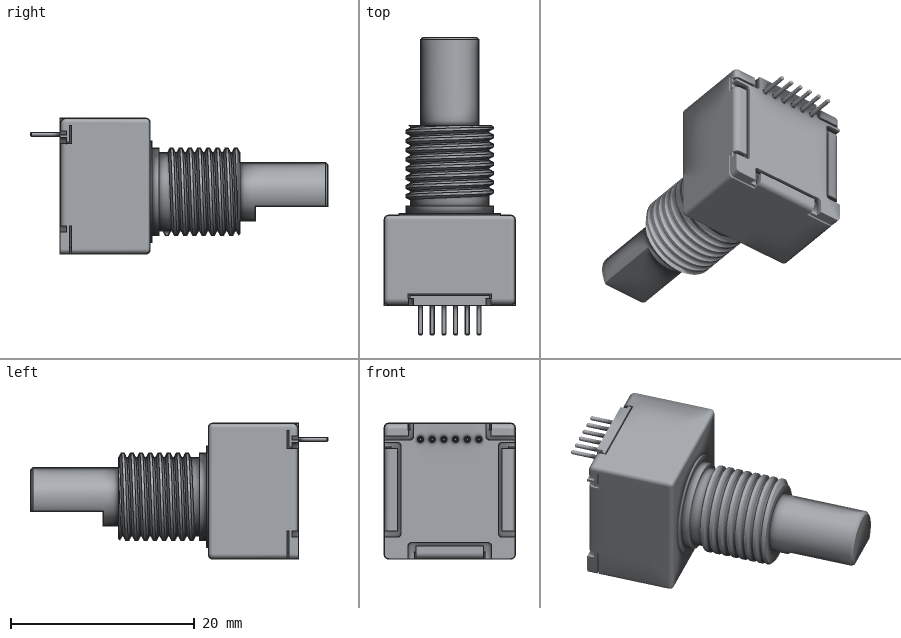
import cadquery as cq

HOUSING_WIDTH = 14.25
HOUSING_DEPTH = 9.82
HOUSING_TOP = 8.0
HOUSING_HEIGHT = 14.76
HOUSING_BOTTOM = HOUSING_TOP - HOUSING_HEIGHT
HALF_WIDTH = HOUSING_WIDTH / 2
EDGE_RADIUS = 0.5

PIN_LENGTH = 3.18
OVERALL_LENGTH = 32.33
SHAFT_END = OVERALL_LENGTH - PIN_LENGTH
SHAFT_PROJECTION = 9.58
BUSHING_END = SHAFT_END - SHAFT_PROJECTION
SEAT_RADIUS = 5.5
SEAT_THICKNESS = 0.2
SEAT_END = HOUSING_DEPTH + SEAT_THICKNESS
COLLAR_RADIUS = 4.76
COLLAR_THICKNESS = 0.78
COLLAR_END = SEAT_END + COLLAR_THICKNESS

SHAFT_RADIUS = 3.175
SHAFT_CHAMFER = 0.25
FLAT_DISTANCE = SHAFT_RADIUS / 2
ROUND_STUB = 1.7

THREAD_PITCH = 1.0
THREAD_ROOT_RADIUS = 4.25
THREAD_CREST_RADIUS = 4.76
THREAD_ROOT_WIDTH = 0.92
THREAD_CREST_WIDTH = 0.3
THREAD_EMBED = 0.1
THREAD_START = 11.64
THREAD_END_RADIUS = 4.55

BASE_THICKNESS = 1.07
SHELL_GAP = 0.21
NOTCH_DEPTH = BASE_THICKNESS + SHELL_GAP
SHELL_THICKNESS = 0.75
TOP_NOTCH_HALF = 4.53
TOP_GAP_INNER = 4.3

POCKET_DEPTH = 0.75
POCKET_RADIUS = 0.4
TAB_FACE = 0.08
TAB_BEND_RADIUS = 0.65

SIDE_POCKET_REACH = 1.84
SIDE_POCKET_TOP = 5.9
SIDE_POCKET_BOTTOM = -4.38
SIDE_TAB_REACH = 1.47
SIDE_TAB_TOP = 5.25
SIDE_TAB_BOTTOM = -3.72
SIDE_RELIEF = 0.17

BOTTOM_POCKET_REACH = 1.78
BOTTOM_POCKET_HALF = 4.53
BOTTOM_TAB_REACH = 1.41
BOTTOM_TAB_HALF = 3.66
BOTTOM_RELIEF = 0.19

CORNER_POCKET_REACH = 1.81
CORNER_POCKET_INNER = 3.93
CORNER_TAB_REACH = 1.4
CORNER_TAB_INNER = 4.5
CORNER_WRAP = 0.77

PIN_COUNT = 6
PIN_PITCH = 1.27
PIN_DIAMETER = 0.46
PIN_TIP_CHAMFER = 0.1
PIN_HEIGHT = 6.24
PIN_HOLE_DIAMETER = 0.66
PIN_HOLE_DEPTH = 0.3


def block(x_range, y_range, z_range):
    """Box spanning the given X, Y and Z ranges."""
    size = [high - low for low, high in (x_range, y_range, z_range)]
    corner = (x_range[0], y_range[0], z_range[0])
    return cq.Workplane("XY").box(*size, centered=False).translate(corner)


def cylinder(radius, start, end):
    """Cylinder along Y around the shaft axis."""
    return cq.Workplane("XZ", origin=(0, start, 0)).circle(radius).extrude(start - end)


def both_sides(shape):
    """The shape together with its mirror image across X = 0."""
    return shape.union(shape.mirror("YZ"))


def make_housing():
    housing = block((-HALF_WIDTH, HALF_WIDTH), (0, HOUSING_DEPTH), (HOUSING_BOTTOM, HOUSING_TOP))
    return housing.edges("|Y").fillet(EDGE_RADIUS).faces(">Y").edges().fillet(EDGE_RADIUS)


def make_pockets():
    """Rounded recesses in the base plate, open to the outside of the housing."""
    y_range = (0, POCKET_DEPTH)
    outside = HALF_WIDTH + EDGE_RADIUS
    above = HOUSING_TOP + EDGE_RADIUS
    below = HOUSING_BOTTOM - EDGE_RADIUS
    side = block(
        (-outside, SIDE_POCKET_REACH - HALF_WIDTH), y_range, (SIDE_POCKET_BOTTOM, SIDE_POCKET_TOP)
    )
    side = side.edges("|Y and >X").fillet(POCKET_RADIUS)
    corner = block(
        (-outside, -CORNER_POCKET_INNER), y_range, (HOUSING_TOP - CORNER_POCKET_REACH, above)
    )
    corner = corner.edges("|Y and >X and <Z").fillet(POCKET_RADIUS)
    bottom = block(
        (-BOTTOM_POCKET_HALF, BOTTOM_POCKET_HALF),
        y_range,
        (below, HOUSING_BOTTOM + BOTTOM_POCKET_REACH),
    )
    bottom = bottom.edges("|Y and >Z").fillet(POCKET_RADIUS)
    return both_sides(side.union(corner)).union(bottom)


def make_gaps():
    """Narrow clearances between the shell's front edge and the base plate."""
    rim = (BASE_THICKNESS, NOTCH_DEPTH)
    full = (0, NOTCH_DEPTH)
    side_wall = (-HALF_WIDTH, SHELL_THICKNESS - HALF_WIDTH)
    top_wall = (HOUSING_TOP - SHELL_THICKNESS, HOUSING_TOP)
    bottom_wall = (HOUSING_BOTTOM, HOUSING_BOTTOM + SHELL_THICKNESS)
    relief_end = BOTTOM_TAB_HALF + BOTTOM_RELIEF

    top_rim = block((-TOP_NOTCH_HALF, 0), rim, top_wall)
    top_slit = block((-TOP_NOTCH_HALF, -TOP_GAP_INNER), full, top_wall)
    upper_rim = block(side_wall, rim, (SIDE_TAB_TOP, HOUSING_TOP - CORNER_WRAP))
    upper_slit = block(side_wall, full, (SIDE_TAB_TOP, SIDE_TAB_TOP + SIDE_RELIEF))
    lower_rim = block(side_wall, rim, (HOUSING_BOTTOM, SIDE_TAB_BOTTOM))
    bottom_rim = block((-HALF_WIDTH, -BOTTOM_TAB_HALF), rim, bottom_wall)
    bottom_slit = block((-relief_end, -BOTTOM_TAB_HALF), full, bottom_wall)
    left = top_rim.union(top_slit).union(upper_rim).union(upper_slit)
    left = left.union(lower_rim).union(bottom_rim).union(bottom_slit)
    return both_sides(left)


def make_tabs():
    """Shell tabs bent over the base plate, with a rounded outer bend."""
    y_range = (TAB_FACE, POCKET_DEPTH)
    side = block(
        (-HALF_WIDTH, SIDE_TAB_REACH - HALF_WIDTH), y_range, (SIDE_TAB_BOTTOM, SIDE_TAB_TOP)
    )
    side = side.edges("|Z and <X and <Y").fillet(TAB_BEND_RADIUS)
    corner = block(
        (-HALF_WIDTH, -CORNER_TAB_INNER), y_range, (HOUSING_TOP - CORNER_TAB_REACH, HOUSING_TOP)
    )
    corner = corner.edges("|X and >Z and <Y").fillet(TAB_BEND_RADIUS)
    corner = corner.edges("<X and <Y").fillet(EDGE_RADIUS)
    bottom = block(
        (-BOTTOM_TAB_HALF, BOTTOM_TAB_HALF),
        y_range,
        (HOUSING_BOTTOM, HOUSING_BOTTOM + BOTTOM_TAB_REACH),
    )
    bottom = bottom.edges("|X and <Z and <Y").fillet(TAB_BEND_RADIUS)
    return both_sides(side.union(corner)).union(bottom)


def make_thread():
    """Helical ridge around the bushing, bevelled and cut flat at the bushing end."""
    height = BUSHING_END - THREAD_START + THREAD_PITCH
    inner = THREAD_ROOT_RADIUS - THREAD_EMBED
    helix = cq.Wire.makeHelix(THREAD_PITCH, height, inner)
    profile = cq.Workplane("XZ").polyline(
        [
            (inner, -THREAD_ROOT_WIDTH / 2),
            (THREAD_CREST_RADIUS, -THREAD_CREST_WIDTH / 2),
            (THREAD_CREST_RADIUS, THREAD_CREST_WIDTH / 2),
            (inner, THREAD_ROOT_WIDTH / 2),
        ]
    ).close()
    ridge = profile.sweep(cq.Workplane(obj=helix), isFrenet=True)
    ridge = ridge.rotate((0, 0, 0), (0, 0, 1), 90).rotate((0, 0, 0), (1, 0, 0), -90)
    ridge = ridge.translate((0, THREAD_START, 0))
    envelope = cylinder(SEAT_RADIUS, COLLAR_END, BUSHING_END)
    envelope = envelope.faces(">Y").chamfer(SEAT_RADIUS - THREAD_END_RADIUS)
    return ridge.intersect(envelope)


def make_bushing():
    seat = cylinder(SEAT_RADIUS, HOUSING_DEPTH - EDGE_RADIUS, SEAT_END)
    collar = cylinder(COLLAR_RADIUS, HOUSING_DEPTH, COLLAR_END)
    core = cylinder(THREAD_ROOT_RADIUS, HOUSING_DEPTH, BUSHING_END)
    threaded = core.union(make_thread(), clean=False)
    return threaded.union(collar, clean=False).union(seat, clean=False)


def make_shaft():
    shaft = cylinder(SHAFT_RADIUS, COLLAR_END, SHAFT_END).faces(">Y").chamfer(SHAFT_CHAMFER)
    below_flat = block(
        (-SHAFT_RADIUS, SHAFT_RADIUS),
        (BUSHING_END + ROUND_STUB, SHAFT_END),
        (-SHAFT_RADIUS, -FLAT_DISTANCE),
    )
    return shaft.cut(below_flat)


def pin_row(diameter, start, end):
    """One Y-directed cylinder at every terminal position."""
    plane = cq.Workplane("XZ", origin=(0, end, PIN_HEIGHT))
    return plane.rarray(PIN_PITCH, 1, PIN_COUNT, 1).circle(diameter / 2).extrude(end - start)


def make_pins():
    pins = pin_row(PIN_DIAMETER, -PIN_LENGTH, BASE_THICKNESS)
    return pins.faces("<Y").chamfer(PIN_TIP_CHAMFER)


housing = make_housing().cut(make_pockets()).cut(make_gaps())
housing = housing.union(make_tabs())
housing = housing.cut(pin_row(PIN_HOLE_DIAMETER, 0, PIN_HOLE_DEPTH)).union(make_pins())
result = housing.union(make_shaft()).union(make_bushing(), clean=False)